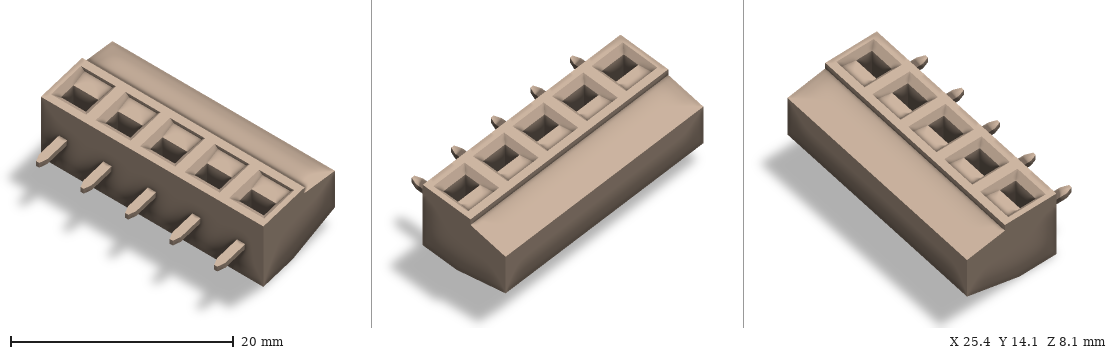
import cadquery as cq

pole_count = 5
pitch = 5.08

housing_width = pole_count * pitch
housing_depth = 10.4
housing_height = 8.1
block_depth = 6.0
step_height = 0.75
rear_top_drop = 1.6
rear_bottom_rise = 1.6
underside_depth = 4.27

mouth_width = 4.0
mouth_front = 0.8
mouth_rear = 5.15
mouth_depth = 0.6
mouth_rear_wall = 0.42
well_width = 2.84
well_front = 1.5
well_rear = 3.32
well_depth = 4.0

pin_length = 3.7
pin_width = 0.94
pin_thickness = 0.64
pin_tip_width = 0.36
pin_tip_length = 0.8
pin_center_below_top = 4.1

pole_positions = [(i - (pole_count - 1) / 2) * pitch for i in range(pole_count)]


def extrude_along_x(profile_yz, width):
    """Prism with a (Y, Z) outline, centred on X = 0."""
    return cq.Workplane("YZ").polyline(profile_yz).close().extrude(width / 2, both=True)


def make_housing():
    profile = [
        (0, 0),
        (underside_depth, 0),
        (housing_depth, rear_bottom_rise),
        (housing_depth, housing_height - rear_top_drop),
        (block_depth, housing_height - step_height),
        (block_depth, housing_height),
        (0, housing_height),
    ]
    return extrude_along_x(profile, housing_width)


def make_recess():
    """Volume removed from one pole, centred on X = 0."""
    mouth_floor = housing_height - mouth_depth
    lengthwise_profile = [
        (mouth_front, housing_height),
        (well_front, mouth_floor),
        (well_rear, mouth_floor),
        (mouth_rear, housing_height - mouth_rear_wall),
        (mouth_rear, housing_height),
    ]
    crosswise_profile = [
        (-mouth_width / 2, housing_height),
        (-well_width / 2, mouth_floor),
        (well_width / 2, mouth_floor),
        (mouth_width / 2, housing_height),
    ]
    crosswise_prism = cq.Workplane("XZ").polyline(crosswise_profile).close().extrude(-housing_depth)
    mouth = extrude_along_x(lengthwise_profile, mouth_width).intersect(crosswise_prism)
    well = cq.Workplane("XY").box(
        well_width,
        well_rear - well_front,
        well_depth - mouth_depth,
        centered=(True, False, False),
    )
    well = well.translate((0, well_front, housing_height - well_depth))
    return mouth.union(well)


def make_pin():
    """Flat pin with a tapered tip, centred on X = 0."""
    shoulder = pin_tip_length - pin_length
    outline = [
        (-pin_width / 2, 0),
        (-pin_width / 2, shoulder),
        (-pin_tip_width / 2, -pin_length),
        (pin_tip_width / 2, -pin_length),
        (pin_width / 2, shoulder),
        (pin_width / 2, 0),
    ]
    pin = cq.Workplane("XY").polyline(outline).close().extrude(pin_thickness / 2, both=True)
    return pin.translate((0, 0, housing_height - pin_center_below_top))


recess = make_recess()
pin = make_pin()
result = make_housing()
for x in pole_positions:
    result = result.cut(recess.translate((x, 0, 0)))
    result = result.union(pin.translate((x, 0, 0)))